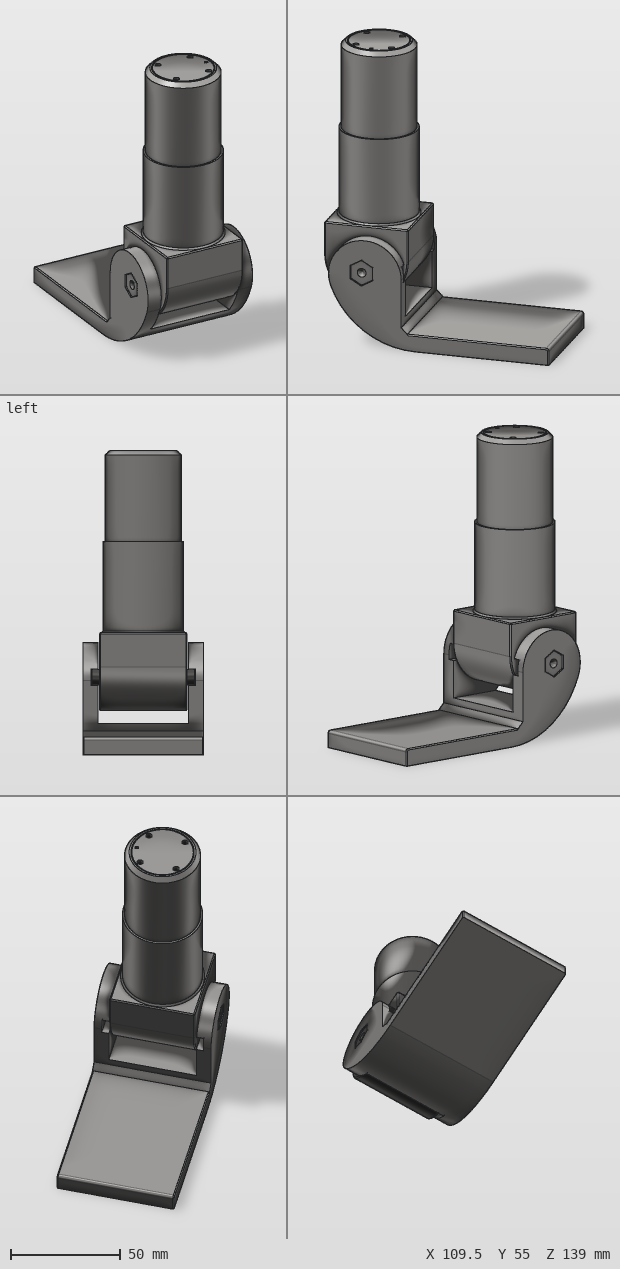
import cadquery as cq
import math


bracket_length = 89.5
bracket_width = 55.0
plate_thickness = 8.0
plate_chamfer = 0.5
nose_radius = 1.4
web_size = 2.9
arm_thickness = 7.0
arm_front_x = -19.0
arm_radius = 17.4
arm_center_x = arm_front_x + arm_radius
arm_center_z = 33.9
heel_radius = 43.1
opening_floor_z = 14.3
hinge_z = 35.5

knuckle_size = 40.0
knuckle_radius = knuckle_size / 2
knuckle_top_z = 55.7
knuckle_bottom_z = 20.2
knuckle_chamfer = 0.5
sleeve_radius = 18.3
sleeve_top_z = 97.3
sleeve_foot = 0.8

trunnion_diameter = 7.2
groove_width = 7.4
groove_depth = 3.3
trunnion_end_gap = 0.5

pocket_flats = 10.8
pocket_depth = 2.8
plug_flats = 10.4
plug_recess = 0.5
dimple_radius = 2.1
dimple_depth = 2.1

head_radius = 17.4
head_top_z = 139.0
head_chamfer = 2.1
disc_radius = 14.0
disc_gap = 0.4
disc_thickness = 4.2
disc_hole_diameter = 2.8
disc_hole_spacing = 17.0
mark_diameter = 1.5
mark_offset = 12.1

arm_inner_y = bracket_width / 2 - arm_thickness
groove_floor_y = arm_inner_y + groove_depth
sides = (-1, 1)


def cylinder(radius, bottom_z, top_z):
    return cq.Workplane("XY").workplane(offset=bottom_z).circle(radius).extrude(top_z - bottom_z)


def along_y(start_y, x, z):
    """Workplane facing +Y, with its origin at the given point."""
    plane = cq.Plane(origin=(x, start_y, z), xDir=(-1, 0, 0), normal=(0, 1, 0))
    return cq.Workplane(plane)


def hex_prism(flats, depth, outer_y, side):
    """Hexagonal prism on the hinge axis, from outer_y inwards, two corners pointing up and down."""
    corner_diameter = flats / math.cos(math.pi / 6)
    return (
        along_y(side * outer_y, 0, hinge_z)
        .transformed(rotate=(0, 0, 90))
        .polygon(6, corner_diameter)
        .extrude(-side * depth)
    )


def bracket_blank():
    """Side outline extruded over the full width; the heel arc is tangent to plate and arm end."""
    heel_center_z = heel_radius
    center_distance = heel_radius - arm_radius
    rise = arm_center_z - heel_center_z
    heel_center_x = arm_center_x - math.sqrt(center_distance**2 - rise**2)
    tangent_angle = math.atan2(rise, arm_center_x - heel_center_x)
    heel_mid_angle = (tangent_angle - math.pi / 2) / 2

    def on_heel(angle):
        return (heel_center_x + heel_radius * math.cos(angle), heel_center_z + heel_radius * math.sin(angle))

    return (
        cq.Workplane("XZ", origin=(0, bracket_width / 2, 0))
        .moveTo(-bracket_length, 0)
        .lineTo(heel_center_x, 0)
        .threePointArc(on_heel(heel_mid_angle), on_heel(tangent_angle))
        .threePointArc((arm_center_x, arm_center_z + arm_radius), (arm_front_x, arm_center_z))
        .lineTo(arm_front_x, plate_thickness + web_size)
        .lineTo(arm_front_x - web_size, plate_thickness)
        .lineTo(-bracket_length, plate_thickness)
        .close()
        .extrude(bracket_width)
    )


def ease_plate(body):
    """Round the upper edge of the free end, then bevel both sides along the top and down the end."""
    body = body.edges(cq.NearestToPointSelector((-bracket_length, 0, plate_thickness))).fillet(nose_radius)
    middle_x = (-bracket_length + arm_front_x) / 2
    for side in sides:
        side_edge = (middle_x, side * bracket_width / 2, plate_thickness)
        body = body.edges(cq.NearestToPointSelector(side_edge)).chamfer(plate_chamfer)
    return body


def make_bracket():
    opening_length = 2 * bracket_length
    opening_height = arm_center_z + arm_radius - opening_floor_z
    body = ease_plate(bracket_blank())
    opening = cq.Workplane("XY", origin=(0, 0, opening_floor_z)).box(
        opening_length, 2 * arm_inner_y, opening_height, centered=(True, True, False)
    )
    body = body.cut(opening)
    for side in sides:
        start = along_y(side * arm_inner_y, 0, hinge_z)
        round_end = start.circle(groove_width / 2).extrude(side * groove_depth)
        entry = start.center(-arm_front_x / 2, 0).rect(-arm_front_x, groove_width).extrude(side * groove_depth)
        body = body.cut(round_end).cut(entry)
        body = body.cut(hex_prism(pocket_flats, pocket_depth, bracket_width / 2, side))
    return body


def make_holder():
    round_center_z = knuckle_bottom_z + knuckle_radius
    body = (
        cq.Workplane("XZ", origin=(0, knuckle_size / 2, 0))
        .moveTo(-knuckle_radius, knuckle_top_z)
        .lineTo(-knuckle_radius, round_center_z)
        .threePointArc((0, knuckle_bottom_z), (knuckle_radius, round_center_z))
        .lineTo(knuckle_radius, knuckle_top_z)
        .close()
        .extrude(knuckle_size)
        .faces("|Y or >Z")
        .edges()
        .chamfer(knuckle_chamfer)
    )
    trunnion_end_y = groove_floor_y - trunnion_end_gap
    trunnions = along_y(-trunnion_end_y, 0, hinge_z).circle(trunnion_diameter / 2).extrude(2 * trunnion_end_y)
    foot = cq.Workplane(
        cq.Solid.makeCone(
            sleeve_radius + sleeve_foot, sleeve_radius, sleeve_foot, pnt=cq.Vector(0, 0, knuckle_top_z)
        )
    )
    sleeve = cylinder(sleeve_radius, knuckle_top_z, sleeve_top_z)
    return body.union(trunnions).union(foot).union(sleeve)


def make_plug(side):
    outer_y = bracket_width / 2 - plug_recess
    body = hex_prism(plug_flats, pocket_depth - plug_recess, outer_y, side)
    dimple = cq.Solid.makeCone(
        dimple_radius, 0, dimple_depth, pnt=cq.Vector(0, side * outer_y, hinge_z), dir=cq.Vector(0, -side, 0)
    )
    return body.cut(cq.Workplane(dimple))


def make_head():
    body = cylinder(head_radius, sleeve_top_z, head_top_z).faces(">Z").chamfer(head_chamfer)
    return body.cut(cylinder(disc_radius + disc_gap, head_top_z - disc_thickness, head_top_z))


def make_disc():
    return (
        cylinder(disc_radius, head_top_z - disc_thickness, head_top_z)
        .faces(">Z")
        .workplane(origin=(0, 0, head_top_z))
        .rect(disc_hole_spacing, disc_hole_spacing, forConstruction=True)
        .vertices()
        .hole(disc_hole_diameter)
        .faces(">Z")
        .workplane(origin=(0, 0, head_top_z))
        .center(0, mark_offset)
        .hole(mark_diameter)
    )


bracket = make_bracket()
holder = make_holder()
plugs = [make_plug(side).val() for side in sides]
head = make_head()
disc = make_disc()

result = cq.Compound.makeCompound([bracket.val(), holder.val(), *plugs, head.val(), disc.val()])